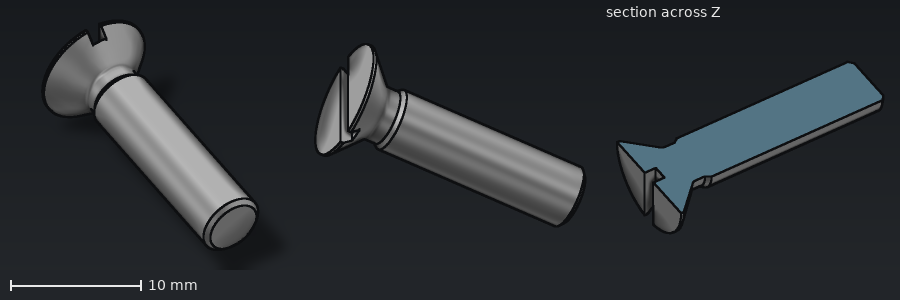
import cadquery as cq
import math

length = 20.0
head_radius = 9.2 / 2
shank_radius = 5.0 / 2
neck_radius = 4.4 / 2

rim_thickness = 0.25
neck_fillet = 0.5

neck_end = 3.7
shank_start = 4.1
tip_chamfer_length = 0.35
tip_chamfer_depth = 0.4

slot_width = 1.2
slot_depth = 1.0

cone_angle = math.radians(45)
cone_neck_x = rim_thickness + (head_radius - neck_radius) / math.tan(cone_angle)
fillet_tangent = neck_fillet * math.tan(cone_angle / 2)
fillet_end_x = cone_neck_x + fillet_tangent
fillet_center_r = neck_radius + neck_fillet


def fillet_point(angle):
    """Point on the neck fillet, with the angle measured back from the neck."""
    return (
        fillet_end_x - neck_fillet * math.sin(angle),
        fillet_center_r - neck_fillet * math.cos(angle),
    )


def make_body():
    """Revolve the half profile of the screw around the X axis."""
    profile = (
        cq.Workplane("XY")
        .lineTo(0, head_radius)
        .lineTo(rim_thickness, head_radius)
        .lineTo(*fillet_point(cone_angle))
        .threePointArc(fillet_point(cone_angle / 2), fillet_point(0))
        .lineTo(neck_end, neck_radius)
        .lineTo(shank_start, shank_radius)
        .lineTo(length - tip_chamfer_length, shank_radius)
        .lineTo(length, shank_radius - tip_chamfer_depth)
        .lineTo(length, 0)
        .close()
    )
    return profile.revolve(360, (0, 0, 0), (1, 0, 0))


def make_slot():
    """Straight slot across the head, running along Z."""
    return cq.Workplane("XY").box(
        slot_depth, slot_width, 2 * head_radius, centered=(False, True, True)
    )


result = make_body().cut(make_slot())